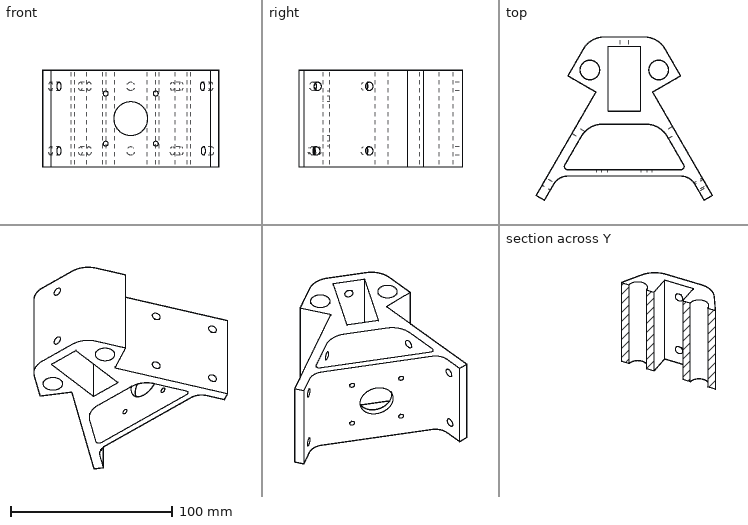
import cadquery as cq
import math

height = 60.0
half_width = 54.7
depth = 101.4
slope = math.radians(60)

leg_thickness = 6.0
leg_length = 74.0
ear_step = 20.0
crown_radius = 15.0

plate_front = 15.0
plate_thickness = 4.0
plate_fillet = 10.0
pocket_back = 47.1
pocket_front_fillet = 2.0

slot_width = 20.0
slot_length = 40.0
slot_back_wall = 6.0

ear_hole_diameter = 12.0
ear_hole_x = 21.3
ear_hole_y = 80.8
leg_hole_diameter = 5.1
tip_hole_distance = 10.0
far_hole_distance = 46.9
leg_hole_z = 20.0
shifted_hole_distance = 9.0
plate_bore_diameter = 21.0
plate_screw_diameter = 3.1
plate_screw_offset = 15.5
back_hole_diameter = 5.1
back_hole_z = 20.0

along_leg = (-math.cos(slope), math.sin(slope))
leg_normal = (math.sin(slope), math.cos(slope))
leg_tip = (half_width, leg_thickness * leg_normal[1])
inner_tip = (half_width - leg_thickness * leg_normal[0], 0)
notch = (leg_tip[0] + leg_length * along_leg[0], leg_tip[1] + leg_length * along_leg[1])
ear_tip = (notch[0] + ear_step * leg_normal[0], notch[1] + ear_step * leg_normal[1])
crown = (ear_tip[0] - (depth - ear_tip[1]) / math.tan(slope), depth)


def leg_inner_point(y):
    """Point on the inner face of the +X leg at the given Y."""
    return (inner_tip[0] - y / math.tan(slope), y)


def mirrored_prism(right_side):
    """Full-height prism whose outline is the given points and their mirror in X."""
    left_side = [(-x, y) for x, y in reversed(right_side)]
    outline = cq.Workplane("XY").workplane(offset=-height / 2).polyline(right_side + left_side)
    return outline.close().extrude(height)


def round_edges(body, corner, radius):
    """Fillet the vertical edges at a corner and at its mirror in X."""
    x, y = corner
    for side in (-1, 1):
        body = body.edges(cq.selectors.NearestToPointSelector((side * x, y, 0))).fillet(radius)
    return body


def cylinder(diameter, start, direction, length):
    """Cylinder running from a start point along a direction."""
    return cq.Workplane(cq.Solid.makeCylinder(
        diameter / 2, length, cq.Vector(*start), cq.Vector(*direction)))


plate_corner = leg_inner_point(plate_front)
body = mirrored_prism([crown, ear_tip, notch, leg_tip, inner_tip, plate_corner])
body = round_edges(body, crown, crown_radius)
body = round_edges(body, plate_corner, plate_fillet)

pocket_front_corner = leg_inner_point(plate_front + plate_thickness)
pocket_back_corner = leg_inner_point(pocket_back)
pocket = mirrored_prism([pocket_back_corner, pocket_front_corner])
pocket = round_edges(pocket, pocket_back_corner, crown_radius)
pocket = round_edges(pocket, pocket_front_corner, pocket_front_fillet)
body = body.cut(pocket)

slot_center_y = depth - slot_back_wall - slot_length / 2
body = body.cut(cq.Workplane("XY").box(slot_width, slot_length, height).translate((0, slot_center_y, 0)))

for side in (-1, 1):
    start = (side * ear_hole_x, ear_hole_y, -height / 2)
    body = body.cut(cylinder(ear_hole_diameter, start, (0, 0, 1), height))

leg_hole_length = 2 * leg_thickness


def leg_hole(side, distance, z):
    """Hole through the leg on the given side, at a distance from its tip."""
    x = leg_tip[0] + distance * along_leg[0]
    y = leg_tip[1] + distance * along_leg[1]
    inward = (-side * leg_normal[0], -leg_normal[1], 0)
    return cylinder(leg_hole_diameter, (side * x, y, z), inward, leg_hole_length)


for side in (-1, 1):
    for z in (-leg_hole_z, leg_hole_z):
        is_shifted = side > 0 and z < 0
        near_distance = shifted_hole_distance if is_shifted else tip_hole_distance
        body = body.cut(leg_hole(side, near_distance, z))
        body = body.cut(leg_hole(side, far_hole_distance, z))

body = body.cut(cylinder(plate_bore_diameter, (0, plate_front, 0), (0, 1, 0), plate_thickness))
for x in (-plate_screw_offset, plate_screw_offset):
    for z in (-plate_screw_offset, plate_screw_offset):
        body = body.cut(cylinder(plate_screw_diameter, (x, plate_front, z), (0, 1, 0), plate_thickness))

for z in (-back_hole_z, back_hole_z):
    body = body.cut(cylinder(back_hole_diameter, (0, depth, z), (0, -1, 0), slot_back_wall))

result = body